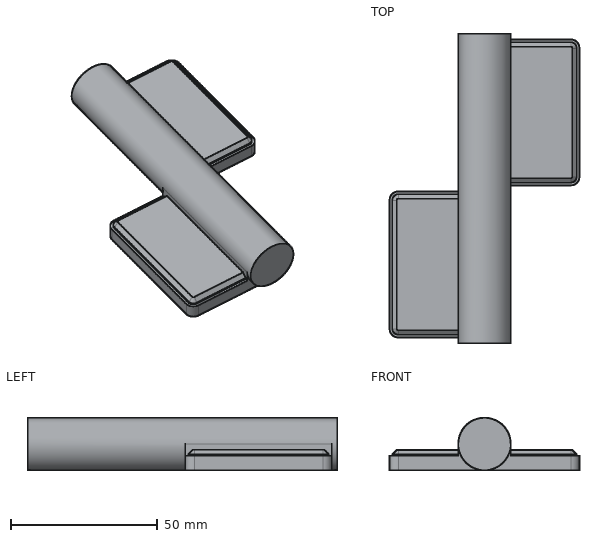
import cadquery as cq

barrel_diameter = 18.0
barrel_length = 105.91
barrel_radius = barrel_diameter / 2

overall_width = 65.0
leaf_reach = overall_width / 2
leaf_length = 50.0
leaf_thickness = 5.0
leaf_corner_radius = 3.0
leaf_gap = 2.0
leaf_offset = (leaf_length + leaf_gap) / 2

pad_inset = 1.0
pad_height = 2.0
pad_chamfer = 1.5
pad_corner_radius = leaf_corner_radius - pad_inset


def make_barrel():
    """Cylinder centred on the origin in Y."""
    front_end = cq.Workplane("XZ", origin=(0, -barrel_length / 2, barrel_radius))
    return front_end.circle(barrel_radius).extrude(-barrel_length)


def make_tab(reach, length, height):
    """Block from the barrel axis out to +X, centred in Y."""
    return cq.Workplane("XY").box(reach, length, height, centered=(False, True, False))


def make_leaf():
    """Leaf on the +X side, centred in Y, with its pad and neck."""
    plate = make_tab(leaf_reach, leaf_length, leaf_thickness)
    plate = plate.edges("|Z and >X").fillet(leaf_corner_radius)

    pad_length = leaf_length - 2 * pad_inset
    pad = make_tab(leaf_reach - pad_inset, pad_length, pad_height)
    pad = pad.edges("|Z and >X").fillet(pad_corner_radius)
    pad = pad.faces(">Z").edges("not(<X)").chamfer(pad_chamfer)
    pad = pad.translate((0, 0, leaf_thickness))

    neck = make_tab(barrel_radius, leaf_length, barrel_radius)
    return plate.union(pad).union(neck)


rear_leaf = make_leaf().translate((0, leaf_offset, 0))
front_leaf = rear_leaf.rotate((0, 0, 0), (0, 0, 1), 180)

result = make_barrel().union(rear_leaf).union(front_leaf)